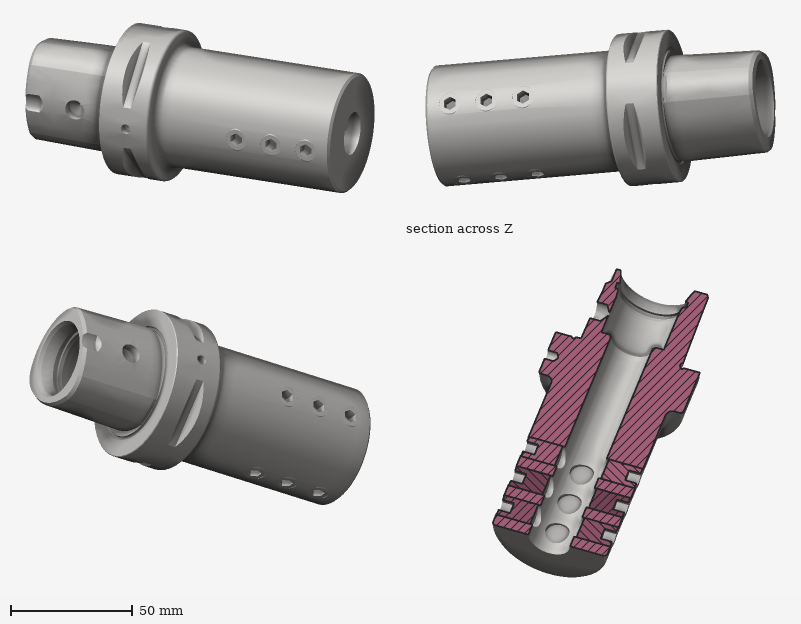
import cadquery as cq
import math


total_length = 138.0
shank_length = 38.0
flange_width = 22.0
flange_end = shank_length + flange_width

shank_width = 44.0
shank_eccentricity = 1.4
taper_slope = 1 / 40
taper_length = 35.8
shank_end_chamfer_length = 1.5
shank_end_chamfer_height = 0.9
neck_radius = 22.6
neck_chamfer_length = 0.8
seat_radius = 22.9
seat_height = 0.35
face_groove_width = 1.4

flange_radius = 31.5
flange_front_chamfer = 0.3
flange_back_fillet = 1.2
body_radius = 25.0
body_neck_fillet = 3.0
body_end_chamfer = 1.0

gripper_x = 50.0
gripper_floor_distance = 27.7
gripper_floor_width = 3.3
gripper_half_angle = 30.0
gripper_angles = (45, 135, 225, 315)

mouth_radius = 16.2
mouth_chamfer_end = (1.7, 15.4)
cone_end = (6.6, 14.1)
clamp_groove_radius = 15.4
lip_start = (9.2, 14.1)
lip_middle = (10.0, 13.98)
lip_end = (10.7, 13.7)
drawbar_bore_start = (13.3, 13.5)
drawbar_bore_depth = 32.0
through_radius = 9.0
through_chamfer = 1.2

drill_half_angle = 59.0
shank_hole_x = 22.6
shank_hole_radius = 4.2
shank_hole_floor_y = -15.8
flange_hole_radius = 2.1
flange_hole_floor_y = -27.5
key_slot_radius = 5.2
key_slot_axis_y = -23.2
key_slot_length = 6.5
key_slot_end_half_angle = 45.0

screw_radius = 5.0
screw_tip_radius = 4.5
screw_chamfer_height = 0.4
screw_outer_end = 24.8
screw_inner_end = 10.0
socket_across_flats = 5.0
socket_depth = 5.0
socket_turn = 90
last_screw_x = 127.5
screw_pitch = 15.5
screw_count = 3
screw_row_angles = (-90, 90, 180)


def polygon_wire(x, inset):
    """Rounded triangle of six tangent arcs at the given x, offset inwards by inset."""
    centre_distance = 2 * shank_eccentricity / (2 - math.sqrt(3))
    lobe_radius = shank_width / 2 + shank_eccentricity - centre_distance - inset
    side_radius = shank_width / 2 - shank_eccentricity + centre_distance - inset

    def arc_point(centre_angle, radius, angle):
        return (
            centre_distance * math.cos(centre_angle) + radius * math.cos(angle),
            centre_distance * math.sin(centre_angle) + radius * math.sin(angle),
        )

    step = math.pi / 6
    outline = cq.Workplane("YZ", origin=(x, 0, 0)).moveTo(*arc_point(0, lobe_radius, -step))
    for lobe in range(3):
        lobe_angle = lobe * 2 * math.pi / 3
        side_angle = lobe_angle + math.pi / 3
        opposite_angle = side_angle + math.pi
        outline = outline.threePointArc(
            arc_point(lobe_angle, lobe_radius, lobe_angle),
            arc_point(lobe_angle, lobe_radius, lobe_angle + step),
        )
        outline = outline.threePointArc(
            arc_point(opposite_angle, side_radius, side_angle),
            arc_point(opposite_angle, side_radius, side_angle + step),
        )
    return outline.close().val()


def polygon_loft(sections):
    """Ruled solid through (x, inset) polygon sections."""
    wires = [polygon_wire(x, inset) for x, inset in sections]
    return cq.Workplane(cq.Solid.makeLoft(wires, True))


def cylinder_x(radius, start, length):
    return cq.Workplane("YZ", origin=(start, 0, 0)).circle(radius).extrude(length)


def make_neck_turning():
    """Turned envelope that trims the polygon lobes down to the neck radius."""
    lobe_tip_radius = shank_width / 2 + shank_eccentricity
    return (
        cq.Workplane("XY")
        .moveTo(taper_length, 0)
        .lineTo(taper_length, lobe_tip_radius)
        .lineTo(taper_length + neck_chamfer_length, neck_radius)
        .lineTo(shank_length, neck_radius)
        .lineTo(shank_length, 0)
        .close()
        .revolve(360, (0, 0, 0), (1, 0, 0))
    )


def make_shank():
    def inset_at(x):
        return (taper_length - x) * taper_slope

    end_inset = inset_at(shank_end_chamfer_length) + shank_end_chamfer_height
    nose = polygon_loft([(0, end_inset), (shank_end_chamfer_length, inset_at(shank_end_chamfer_length))])
    taper = polygon_loft([(shank_end_chamfer_length, inset_at(shank_end_chamfer_length)), (taper_length, 0)])
    neck = polygon_loft([(taper_length, 0), (shank_length, 0)])
    neck = neck.intersect(make_neck_turning())
    seat = cylinder_x(seat_radius, shank_length - seat_height, seat_height)
    return nose.union(taper).union(neck).union(seat)


def make_flange_and_body():
    """Flange and body turned in one profile, with a half-round groove in the flange face."""
    blend = math.sqrt(0.5)
    fillet_x = flange_end + body_neck_fillet
    fillet_r = body_radius + body_neck_fillet
    edge_x = flange_end - flange_back_fillet
    edge_r = flange_radius - flange_back_fillet
    return (
        cq.Workplane("XY")
        .moveTo(shank_length, 0)
        .lineTo(shank_length, seat_radius)
        .threePointArc(
            (shank_length + face_groove_width / 2, seat_radius + face_groove_width / 2),
            (shank_length, seat_radius + face_groove_width),
        )
        .lineTo(shank_length, flange_radius - flange_front_chamfer)
        .lineTo(shank_length + flange_front_chamfer, flange_radius)
        .lineTo(edge_x, flange_radius)
        .threePointArc(
            (edge_x + flange_back_fillet * blend, edge_r + flange_back_fillet * blend),
            (flange_end, edge_r),
        )
        .lineTo(flange_end, fillet_r)
        .threePointArc(
            (fillet_x - body_neck_fillet * blend, fillet_r - body_neck_fillet * blend),
            (fillet_x, body_radius),
        )
        .lineTo(total_length - body_end_chamfer, body_radius)
        .lineTo(total_length, body_radius - body_end_chamfer)
        .lineTo(total_length, 0)
        .close()
        .revolve(360, (0, 0, 0), (1, 0, 0))
    )


def make_bore():
    """Stepped through bore with a clamping groove behind the conical mouth."""
    return (
        cq.Workplane("XY")
        .moveTo(0, 0)
        .lineTo(0, mouth_radius)
        .lineTo(*mouth_chamfer_end)
        .lineTo(*cone_end)
        .lineTo(cone_end[0], clamp_groove_radius)
        .lineTo(lip_start[0], clamp_groove_radius)
        .lineTo(*lip_start)
        .threePointArc(lip_middle, lip_end)
        .lineTo(*drawbar_bore_start)
        .lineTo(drawbar_bore_depth, drawbar_bore_start[1])
        .lineTo(drawbar_bore_depth, through_radius + through_chamfer)
        .lineTo(drawbar_bore_depth + through_chamfer, through_radius)
        .lineTo(total_length, through_radius)
        .lineTo(total_length, 0)
        .close()
        .revolve(360, (0, 0, 0), (1, 0, 0))
    )


def make_gripper_groove(angle):
    """Straight V groove with a flat floor, turned about X to the given angle."""
    depth = flange_radius - gripper_floor_distance
    floor_half = gripper_floor_width / 2
    top_half = floor_half + depth * math.tan(math.radians(gripper_half_angle))
    return (
        cq.Workplane("XZ", origin=(gripper_x, flange_radius, 0))
        .moveTo(-floor_half, gripper_floor_distance)
        .lineTo(floor_half, gripper_floor_distance)
        .lineTo(top_half, flange_radius)
        .lineTo(-top_half, flange_radius)
        .close()
        .extrude(2 * flange_radius)
        .rotate((0, 0, 0), (1, 0, 0), angle)
    )


def make_blind_hole(x, radius, floor_y):
    """Drilled hole from the -Y side whose cylindrical wall ends at floor_y above a drill point."""
    point = radius / math.tan(math.radians(drill_half_angle))
    return (
        cq.Workplane("XY")
        .moveTo(x, -flange_radius)
        .lineTo(x + radius, -flange_radius)
        .lineTo(x + radius, floor_y)
        .lineTo(x, floor_y + point)
        .close()
        .revolve(360, (x, 0, 0), (x, 1, 0))
    )


def make_key_slot():
    """Round-bottomed slot along the shank, open at the front and ending in a cone."""
    cone_length = key_slot_radius / math.tan(math.radians(key_slot_end_half_angle))
    return (
        cq.Workplane("XY")
        .moveTo(0, key_slot_axis_y)
        .lineTo(0, key_slot_axis_y + key_slot_radius)
        .lineTo(key_slot_length, key_slot_axis_y + key_slot_radius)
        .lineTo(key_slot_length + cone_length, key_slot_axis_y)
        .close()
        .revolve(360, (0, key_slot_axis_y, 0), (1, key_slot_axis_y, 0))
    )


def place_screw_shape(shape, x, angle):
    """Move a shape built on the Z axis to a screw position."""
    return shape.rotate((0, 0, 0), (1, 0, 0), angle).translate((x, 0, 0))


def make_screw_blank():
    return (
        cq.Workplane("XY", origin=(0, 0, screw_inner_end))
        .circle(screw_radius)
        .extrude(screw_outer_end - screw_inner_end - screw_chamfer_height)
        .faces(">Z")
        .workplane()
        .circle(screw_radius)
        .workplane(offset=screw_chamfer_height)
        .circle(screw_tip_radius)
        .loft(combine=True)
    )


def make_screw(x, angle):
    """Set screw with a hexagon socket in its outer end."""
    socket = (
        cq.Workplane("XY", origin=(0, 0, screw_outer_end - socket_depth))
        .polygon(6, socket_across_flats / math.cos(math.pi / 6))
        .extrude(socket_depth)
        .rotate((0, 0, 0), (0, 0, 1), socket_turn)
    )
    return place_screw_shape(make_screw_blank().cut(socket), x, angle)


def make_screw_hole(x, angle):
    """Hole that fits the screw and opens to the bore inside and the surface outside."""
    hole = make_screw_blank()
    hole = hole.union(cq.Workplane("XY").circle(screw_radius).extrude(screw_inner_end))
    hole = hole.union(cq.Workplane("XY").circle(screw_tip_radius).extrude(flange_radius))
    return place_screw_shape(hole, x, angle)


screw_places = [
    (last_screw_x - index * screw_pitch, angle)
    for angle in screw_row_angles
    for index in range(screw_count)
]

holder = make_shank().union(make_flange_and_body())
holder = holder.cut(make_bore())
for groove_angle in gripper_angles:
    holder = holder.cut(make_gripper_groove(groove_angle))
holder = holder.cut(make_blind_hole(shank_hole_x, shank_hole_radius, shank_hole_floor_y))
holder = holder.cut(make_blind_hole(gripper_x, flange_hole_radius, flange_hole_floor_y))
holder = holder.cut(make_key_slot())
for place in screw_places:
    holder = holder.cut(make_screw_hole(*place))

screws = [make_screw(*place) for place in screw_places]

result = cq.Compound.makeCompound([holder.val(), *[screw.val() for screw in screws]])